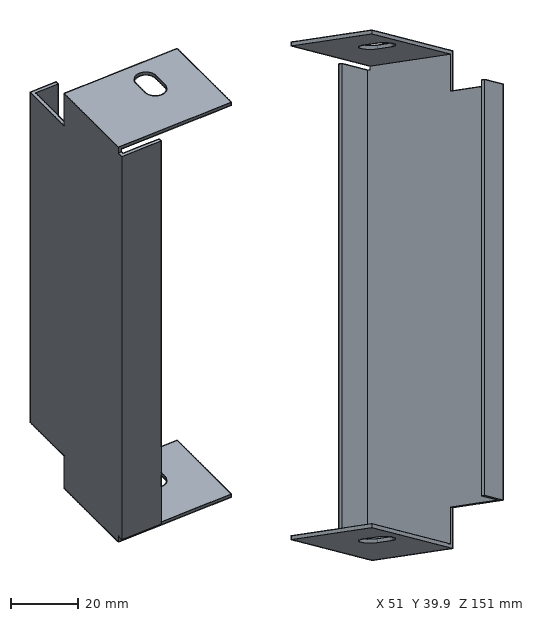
import cadquery as cq

height = 151.0
width = 51.0
sheet = 1.2

tab_depth = 39.9
tab_left = 18.9
tab_right_gap = 2.0
tab_width = width - tab_left - tab_right_gap

left_flange_depth = 9.2
left_end_gap = 12.4
right_flange_depth = 13.9
right_end_gap = 2.3

slot_length = 12.1
slot_width = 7.0
slot_x = tab_left + 10.0
slot_y = 24.2


def block(x, z, size_x, depth, size_z):
    """Box starting at the front face, with its lower left corner at (x, z)."""
    return cq.Workplane("XY").box(size_x, depth, size_z, centered=False).translate((x, 0, z))


left_height = height - 2 * left_end_gap
right_height = height - 2 * right_end_gap

plate = (
    block(tab_left, 0, tab_width, sheet, height)
    .union(block(0, left_end_gap, width - tab_right_gap, sheet, left_height))
    .union(block(tab_left, right_end_gap, width - tab_left, sheet, right_height))
)

left_flange = block(0, left_end_gap, sheet, left_flange_depth, left_height)
right_flange = block(width - sheet, right_end_gap, sheet, right_flange_depth, right_height)
result = plate.union(left_flange).union(right_flange)

for tab_z in (0, height - sheet):
    result = result.union(block(tab_left, tab_z, tab_width, tab_depth, sheet))

slot = cq.Workplane("XY").center(slot_x, slot_y).slot2D(slot_length, slot_width).extrude(height)
result = result.cut(slot)